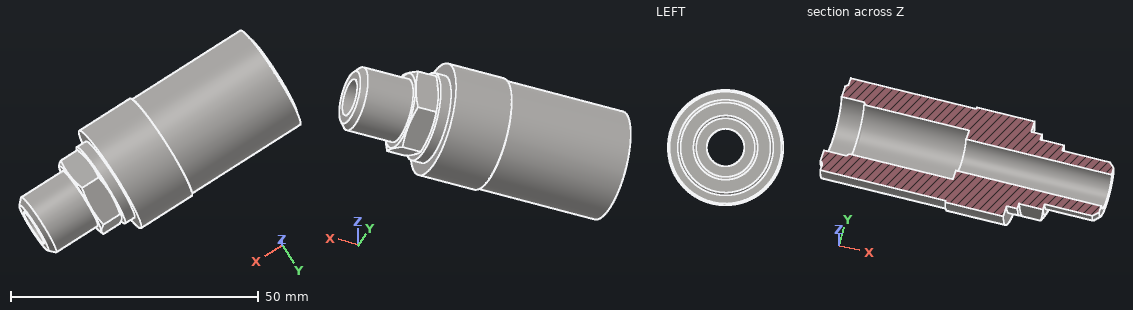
import cadquery as cq
import math

LENGTH = 57.55
LIP_END = 0.6
SLEEVE_END = 26.95
BAND_END = 39.2
COLLAR_END = 41.45
HEX_END = 46.45

LIP_FACE_D = 18.2
SLEEVE_D = 22.6
BAND_D = 23.4
COLLAR_D = 18.3
SPIGOT_D = 13.25

LIP_FLARE_ANGLE = 45.0
SPIGOT_CHAMFER = 1.15
HEX_FLATS = 15.85
HEX_END_FACE_D = 15.55
HEX_CHAMFER_ANGLE = 20.0

ENTRY_BORE_D = 13.0
ENTRY_DEPTH = 4.8
RING_RADIUS = 0.85
RING_HEIGHT = 0.6
INNER_BORE_D = ENTRY_BORE_D - 2 * RING_HEIGHT
INNER_BORE_END = 26.95
THROUGH_D = 7.55


def cylinder(diameter, start, end):
    """Solid cylinder on the X axis between two stations."""
    return cq.Workplane("YZ", origin=(start, 0, 0)).circle(diameter / 2).extrude(end - start)


def hexagon():
    """Hexagon with flats on +Y and -Y and its corners bevelled at both ends."""
    width = HEX_END - COLLAR_END
    corner_d = HEX_FLATS / math.cos(math.pi / 6)
    prism = (
        cq.Workplane("YZ", origin=(COLLAR_END, 0, 0))
        .polygon(6, corner_d)
        .extrude(width)
        .rotate((0, 0, 0), (1, 0, 0), 90)
    )
    radial = (corner_d - HEX_END_FACE_D) / 2
    axial = radial * math.tan(math.radians(HEX_CHAMFER_ANGLE))
    bevel = cylinder(corner_d, COLLAR_END, HEX_END).faces("<X or >X").chamfer(axial, radial)
    return prism.intersect(bevel)


def bore():
    """Entry bore, rounded ring, inner bore and through hole, as one cutter."""
    entry_r = ENTRY_BORE_D / 2
    inner_r = INNER_BORE_D / 2
    through_r = THROUGH_D / 2
    ring_middle = ENTRY_DEPTH + math.sqrt(RING_RADIUS**2 - (RING_RADIUS - RING_HEIGHT) ** 2)
    profile = (
        cq.Workplane("XY")
        .lineTo(0, entry_r)
        .lineTo(ENTRY_DEPTH, entry_r)
        .radiusArc((ring_middle, inner_r), -RING_RADIUS)
        .lineTo(INNER_BORE_END, inner_r)
        .lineTo(INNER_BORE_END, through_r)
        .lineTo(LENGTH, through_r)
        .lineTo(LENGTH, 0)
        .close()
    )
    return profile.revolve(360, (0, 0, 0), (1, 0, 0))


lip = cq.Workplane("YZ").circle(LIP_FACE_D / 2).extrude(LIP_END, taper=-LIP_FLARE_ANGLE)
spigot = cylinder(SPIGOT_D, HEX_END, LENGTH).faces(">X").chamfer(SPIGOT_CHAMFER)

result = (
    cylinder(SLEEVE_D, LIP_END, SLEEVE_END)
    .union(lip)
    .union(cylinder(BAND_D, SLEEVE_END, BAND_END))
    .union(cylinder(COLLAR_D, BAND_END, COLLAR_END))
    .union(hexagon())
    .union(spigot)
    .cut(bore())
)